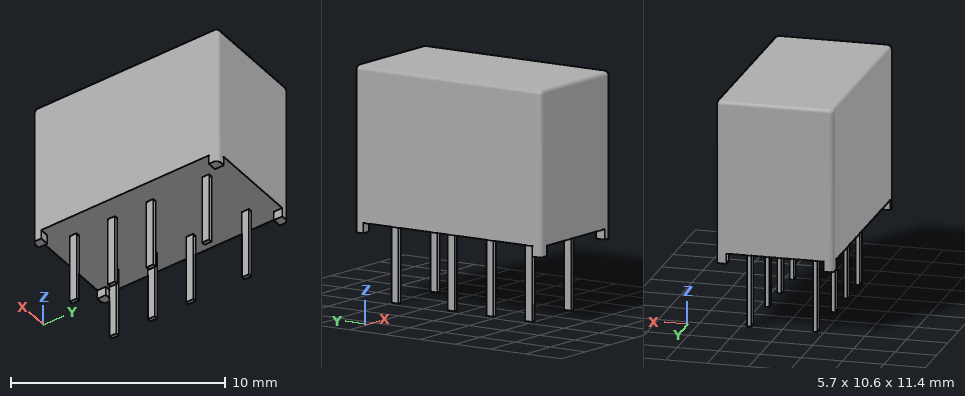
import cadquery as cq

width = 5.7
length = 10.62
housing_height = 8.0
edge_radius = 0.25

foot_size = 0.5
foot_height = 0.5

overall_height = 11.4
pin_thickness = 0.2
pin_width = 0.4
row_spacing = 3.2
end_pin_y = 3.8
pin_pitch = 2.2
pitched_pins = 3
pin_positions_y = [-end_pin_y + i * pin_pitch for i in range(pitched_pins)] + [end_pin_y]
pin_bottom_z = housing_height - overall_height
pin_length = foot_height - pin_bottom_z


def make_housing():
    """Rounded box standing on z = 0."""
    box = cq.Workplane("XY").box(width, length, housing_height, centered=(True, True, False))
    return box.edges("|Z or >Z").fillet(edge_radius)


def make_underside_relief():
    """Cross-shaped volume whose removal leaves a foot at each corner."""
    along_x = cq.Workplane("XY").box(
        width, length - 2 * foot_size, foot_height, centered=(True, True, False)
    )
    along_y = cq.Workplane("XY").box(
        width - 2 * foot_size, length, foot_height, centered=(True, True, False)
    )
    return along_x.union(along_y)


def make_pins():
    """Both rows of pins, hanging from the recessed underside."""
    positions = [
        (side * row_spacing / 2, y)
        for side in (-1, 1)
        for y in pin_positions_y
    ]
    return (
        cq.Workplane("XY")
        .workplane(offset=pin_bottom_z)
        .pushPoints(positions)
        .rect(pin_thickness, pin_width)
        .extrude(pin_length)
    )


result = make_housing().cut(make_underside_relief()).union(make_pins())